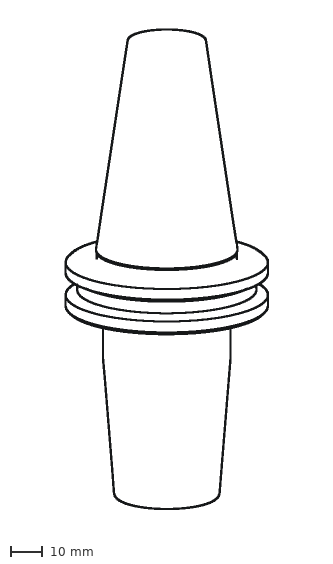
import cadquery as cq


GAUGE_DIAMETER = 44.45
TAPER_RATE = 7 / 24
TAPER_LENGTH = 68.4
TIP_FILLET = 0.9

NECK_DIAMETER = 43.9
NECK_SHOULDER_LENGTH = 0.6
NECK_FILLET = 0.5

FLANGE_DIAMETER = 63.5
FLANGE_TOP_Z = -3.2
FLANGE_BOTTOM_Z = -19.1
RIM_CHAMFER = 0.9
RIM_FILLET = 0.5
GROOVE_DIAMETER = 56.25
GROOVE_FLOOR_WIDTH = 3.75
GROOVE_MOUTH_WIDTH = 7.1
GROOVE_CENTER_Z = -11.1

BODY_DIAMETER = 40.0
BODY_FILLET = 1.6
NOSE_DIAMETER = 33.0
NOSE_LENGTH = 44.6
NOSE_BOTTOM_Z = -80.0
NOSE_FILLET = 1.2


def revolve_about_axis(profile):
    """Turn a closed half-section in the XZ plane into a solid about the Z axis."""
    return profile.revolve(360, (0, 0), (0, 1))


def make_shank():
    """Solid taper with a rounded tip, and the slightly relieved neck below it."""
    gauge_radius = GAUGE_DIAMETER / 2
    tip_radius = (GAUGE_DIAMETER - TAPER_LENGTH * TAPER_RATE) / 2
    neck_radius = NECK_DIAMETER / 2
    profile = (
        cq.Workplane("XZ")
        .moveTo(0, FLANGE_TOP_Z)
        .lineTo(neck_radius + NECK_FILLET, FLANGE_TOP_Z)
        .radiusArc((neck_radius, FLANGE_TOP_Z + NECK_FILLET), NECK_FILLET)
        .lineTo(neck_radius, -NECK_SHOULDER_LENGTH)
        .lineTo(gauge_radius, 0)
        .lineTo(tip_radius, TAPER_LENGTH)
        .lineTo(0, TAPER_LENGTH)
        .close()
    )
    shank = revolve_about_axis(profile)
    return shank.faces(">Z").edges().fillet(TIP_FILLET)


def make_flange():
    """Disc with chamfered rims and a V-flanked groove around its edge."""
    radius = FLANGE_DIAMETER / 2
    floor_radius = GROOVE_DIAMETER / 2
    floor_half_width = GROOVE_FLOOR_WIDTH / 2
    mouth_half_width = GROOVE_MOUTH_WIDTH / 2
    profile = (
        cq.Workplane("XZ")
        .moveTo(0, FLANGE_BOTTOM_Z)
        .lineTo(radius, FLANGE_BOTTOM_Z)
        .lineTo(radius, GROOVE_CENTER_Z - mouth_half_width)
        .lineTo(floor_radius, GROOVE_CENTER_Z - floor_half_width)
        .lineTo(floor_radius, GROOVE_CENTER_Z + floor_half_width)
        .lineTo(radius, GROOVE_CENTER_Z + mouth_half_width)
        .lineTo(radius, FLANGE_TOP_Z)
        .lineTo(0, FLANGE_TOP_Z)
        .close()
    )
    flange = revolve_about_axis(profile)
    flange = flange.faces("<Z or >Z").edges().chamfer(RIM_CHAMFER)
    return flange.faces("<Z or >Z").edges().fillet(RIM_FILLET)


def make_body():
    """Cylinder flared into the flange, then a tapered nose with a rounded end."""
    radius = BODY_DIAMETER / 2
    profile = (
        cq.Workplane("XZ")
        .moveTo(0, FLANGE_BOTTOM_Z)
        .lineTo(radius + BODY_FILLET, FLANGE_BOTTOM_Z)
        .radiusArc((radius, FLANGE_BOTTOM_Z - BODY_FILLET), -BODY_FILLET)
        .lineTo(radius, NOSE_BOTTOM_Z + NOSE_LENGTH)
        .lineTo(NOSE_DIAMETER / 2, NOSE_BOTTOM_Z)
        .lineTo(0, NOSE_BOTTOM_Z)
        .close()
    )
    body = revolve_about_axis(profile)
    return body.faces("<Z").edges().fillet(NOSE_FILLET)


result = make_shank().union(make_flange()).union(make_body())